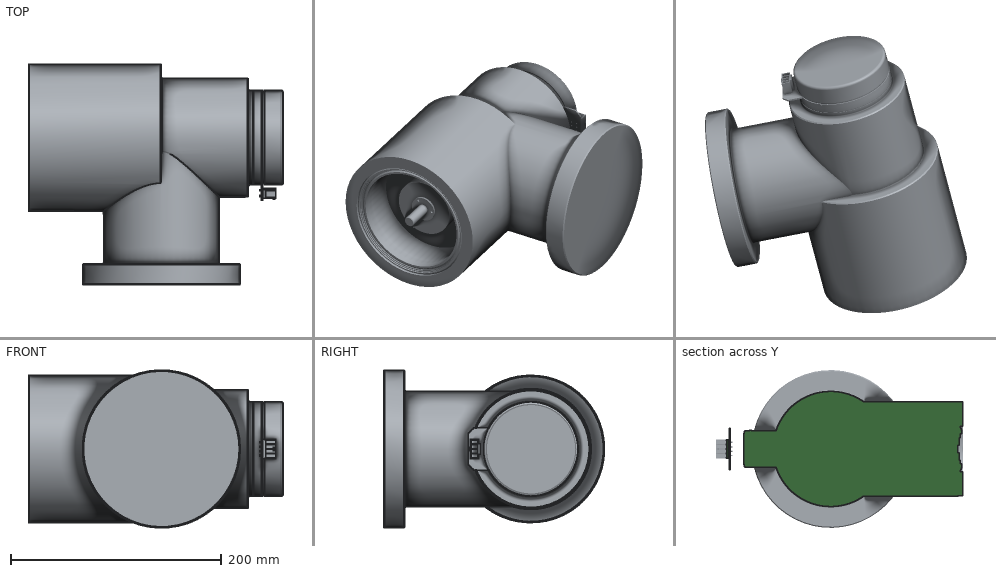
import cadquery as cq
import math


inlet_x = -126.0
main_radius = 70.0
main_end_x = 0.0
rear_radius = 56.5
rear_end_x = 82.8
collar_radius = 45.0
collar_end_x = 95.0
edge_break = 1.0
collar_groove_x = 87.0
collar_groove_width = 0.9
collar_groove_depth = 0.5

seat_mouth_radius = 57.8
seat_ridge_radius = 56.4
seat_ridge_depth = 1.2
step_first_radius = 55.5
step_width = 0.9
step_height = 1.2
step_count = 3
lip_cone_outer = 53.0
lip_cone_inner = 51.8
lip_depth = 3.6
bore_radius = 50.0
bore_depth = 42.0
boss_radius = 27.7
boss_height = 14.0

branch_radius = 55.0
flange_radius = 75.0
flange_face_y = -140.0
flange_thickness = 20.0

hub_radius = 12.2
hub_thickness = 2.0
shaft_radius = 5.0
shaft_chamfer = 0.6
screw_count = 3
screw_circle_radius = 9.6
screw_hole_radius = 1.2

board_thickness = 1.6
board_radius = collar_radius
tab_end_y = -59.4
tab_half_width = 20.1
tab_chamfer = 5.2
board_end_x = collar_end_x + board_thickness

shell_end_x = 108.8
shell_half_width = 9.1
shell_inner_y = -49.7
shell_outer_y = -57.6
shell_wall = 0.8
rail_height = 1.8
rail_width = 10.0
shell_base_length = 2.6
pin_columns = 4
pin_pitch = 4.2
pin_row_spacing = 5.5
pin_centre_y = -52.8
pin_radius = 0.6
pin_projection = 1.6
latch_width = 3.6
latch_height = 1.0
latch_start_x = 106.2
latch_crest_length = 0.9

cap_start_x = 98.4
cap_end_x = inlet_x + 241.82
cap_radius = 45.0
cap_fillet = 2.5
spigot_radius = 44.0


def rod(radius, start_x, end_x, y=0.0, z=0.0):
    """Cylinder along X between two stations."""
    return cq.Workplane("YZ", origin=(start_x, y, z)).circle(radius).extrude(end_x - start_x)


def block(start, end):
    """Box between two opposite corners."""
    size = [high - low for low, high in zip(start, end)]
    return cq.Workplane("XY").box(*size, centered=False).translate(start)


def revolve_about_x(profile):
    """Turn an (X, radius) profile about the main axis."""
    return profile.close().revolve(360, (0, 0, 0), (1, 0, 0))


def main_body():
    """Three stepped cylinders with broken edges and filleted roots."""
    profile = (
        cq.Workplane("XY")
        .moveTo(inlet_x, 0)
        .lineTo(inlet_x, main_radius)
        .lineTo(main_end_x - edge_break, main_radius)
        .lineTo(main_end_x, main_radius - edge_break)
        .lineTo(main_end_x, rear_radius + edge_break)
        .radiusArc((main_end_x + edge_break, rear_radius), -edge_break)
        .lineTo(rear_end_x - edge_break, rear_radius)
        .lineTo(rear_end_x, rear_radius - edge_break)
        .lineTo(rear_end_x, collar_radius + edge_break)
        .radiusArc((rear_end_x + edge_break, collar_radius), -edge_break)
        .lineTo(collar_groove_x, collar_radius)
        .lineTo(collar_groove_x, collar_radius - collar_groove_depth)
        .lineTo(collar_groove_x + collar_groove_width, collar_radius - collar_groove_depth)
        .lineTo(collar_groove_x + collar_groove_width, collar_radius)
        .lineTo(collar_end_x, collar_radius)
        .lineTo(collar_end_x, 0)
    )
    return revolve_about_x(profile)


def branch():
    """Side branch from the main axis to the blank flange, turned about Y."""
    flange_back_y = flange_face_y + flange_thickness
    return (
        cq.Workplane("XY")
        .lineTo(branch_radius, 0)
        .lineTo(branch_radius, flange_back_y + edge_break)
        .radiusArc((branch_radius + edge_break, flange_back_y), -edge_break)
        .lineTo(flange_radius - edge_break, flange_back_y)
        .lineTo(flange_radius, flange_back_y - edge_break)
        .lineTo(flange_radius, flange_face_y + edge_break)
        .lineTo(flange_radius - edge_break, flange_face_y)
        .lineTo(0, flange_face_y)
        .close()
        .revolve(360, (0, 0, 0), (0, 1, 0))
    )


def inlet_cavity():
    """Bore with a stepped seat at its mouth, leaving the boss standing on the floor.

    The seat drops from a ridge down a flight of steps, then rises to the lip of the bore.
    The ridge and the lip each have a 45 degree cone that faces outward.
    """
    ridge_x = inlet_x + seat_ridge_depth
    lip_x = inlet_x + lip_depth
    floor_x = inlet_x + bore_depth
    boss_x = floor_x - boss_height
    profile = (
        cq.Workplane("XY")
        .moveTo(inlet_x, 0)
        .lineTo(inlet_x, seat_mouth_radius)
        .lineTo(ridge_x + seat_mouth_radius - seat_ridge_radius, seat_mouth_radius)
        .lineTo(ridge_x, seat_ridge_radius)
    )
    for index in range(step_count):
        step_radius = step_first_radius - index * step_width
        step_x = ridge_x + index * step_height
        profile = profile.lineTo(step_x, step_radius).lineTo(step_x + step_height, step_radius)
    cone_foot_x = lip_x + lip_cone_outer - lip_cone_inner
    profile = (
        profile.lineTo(cone_foot_x, lip_cone_outer)
        .lineTo(lip_x, lip_cone_inner)
        .lineTo(lip_x, bore_radius)
        .lineTo(floor_x, bore_radius)
        .lineTo(floor_x, boss_radius)
        .lineTo(boss_x, boss_radius)
        .lineTo(boss_x, 0)
    )
    return revolve_about_x(profile)


housing = main_body().union(branch()).cut(inlet_cavity())


def make_drive_shaft():
    """Shaft flush with the inlet face, on a hub screwed to the boss."""
    hub_back_x = inlet_x + bore_depth - boss_height
    hub_front_x = hub_back_x - hub_thickness
    shaft = rod(shaft_radius, inlet_x, hub_front_x).faces("<X").chamfer(shaft_chamfer)
    drive = rod(hub_radius, hub_front_x, hub_back_x).union(shaft)
    for index in range(screw_count):
        angle = math.pi + index * 2 * math.pi / screw_count
        hole_y = screw_circle_radius * math.cos(angle)
        hole_z = screw_circle_radius * math.sin(angle)
        drive = drive.cut(rod(screw_hole_radius, hub_front_x, hub_back_x, hole_y, hole_z))
    return drive


drive_shaft = make_drive_shaft()


def connector_shell():
    """Thin-walled shell with a keying rail and one open socket for each pin column."""
    shell = block(
        (board_end_x, shell_outer_y, -shell_half_width),
        (shell_end_x, shell_inner_y, shell_half_width),
    )
    rail = block(
        (board_end_x, shell_inner_y, -rail_width / 2),
        (shell_end_x, shell_inner_y + rail_height, rail_width / 2),
    )
    shell = shell.union(rail)
    socket_pitch = (2 * shell_half_width - shell_wall) / pin_columns
    for index in range(pin_columns):
        socket_z = shell_wall - shell_half_width + index * socket_pitch
        socket = block(
            (board_end_x + shell_base_length, shell_outer_y + shell_wall, socket_z),
            (shell_end_x, shell_inner_y - shell_wall, socket_z + socket_pitch - shell_wall),
        )
        shell = shell.cut(socket)
    return shell


def latch():
    """Ramped catch on the outer face of the shell."""
    crest_y = shell_outer_y - latch_height
    return (
        cq.Workplane("XY")
        .moveTo(latch_start_x, shell_outer_y)
        .lineTo(latch_start_x, crest_y)
        .lineTo(latch_start_x + latch_crest_length, crest_y)
        .lineTo(shell_end_x, shell_outer_y)
        .close()
        .extrude(latch_width / 2, both=True)
    )


def connector_pins():
    """Two rows of pins that pass through the board and project behind it."""
    rows = (pin_centre_y - pin_row_spacing / 2, pin_centre_y + pin_row_spacing / 2)
    columns = [(index - (pin_columns - 1) / 2) * pin_pitch for index in range(pin_columns)]
    places = [(y, z) for y in rows for z in columns]
    start_x = collar_end_x - pin_projection
    pin_plane = cq.Workplane("YZ", origin=(start_x, 0, 0))
    return pin_plane.pushPoints(places).circle(pin_radius).extrude(board_end_x - start_x)


connector = connector_shell().union(latch()).union(connector_pins())


def make_circuit_board():
    """Round board with a chamfered tab, drilled for the connector pins."""
    tab = block(
        (collar_end_x, tab_end_y, -tab_half_width),
        (board_end_x, 0, tab_half_width),
    )
    tab = tab.faces("<Y").edges("|X").chamfer(tab_chamfer)
    return rod(board_radius, collar_end_x, board_end_x).union(tab).cut(connector_pins())


circuit_board = make_circuit_board()


cap_shell = rod(cap_radius, cap_start_x, cap_end_x).faces(">X").edges().fillet(cap_fillet)
end_cap = cap_shell.union(rod(spigot_radius, board_end_x, cap_start_x))


result = cq.Compound.makeCompound(
    [
        housing.val(),
        drive_shaft.val(),
        connector.val(),
        circuit_board.val(),
        end_cap.val(),
    ]
)